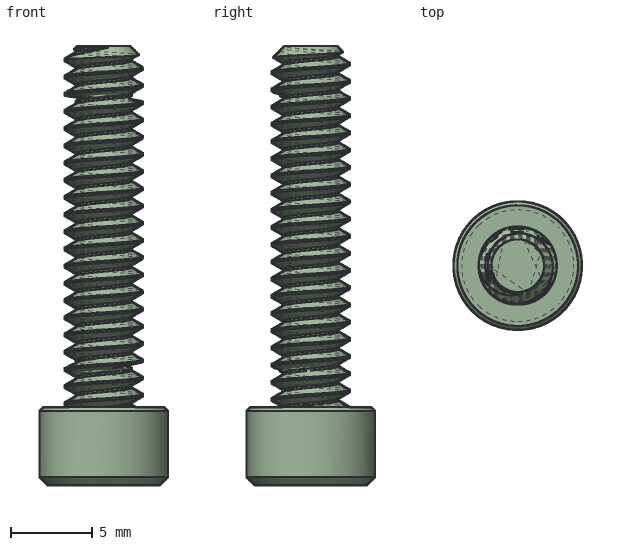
import cadquery as cq
import math

total_length = 27.05
head_diameter = 7.93
head_height = 4.81
head_base_chamfer = 0.51
head_shoulder_chamfer = 0.25

thread_diameter = 4.81
root_diameter = 3.45
shank_pitches = 21
thread_half_angle = math.radians(30)
crest_share = 1 / 8
crest_drop = 0.32
root_overlap = 0.05
extra_turns = 2

tip_diameter = 3.25

shank_length = total_length - head_height
pitch = shank_length / shank_pitches
thread_radius = thread_diameter / 2
root_radius = root_diameter / 2
tip_radius = tip_diameter / 2


def make_head():
    return (
        cq.Workplane("XY")
        .circle(head_diameter / 2)
        .extrude(head_height)
        .faces("<Z")
        .chamfer(head_base_chamfer)
        .faces(">Z")
        .chamfer(head_shoulder_chamfer)
    )


def make_core():
    core_start = head_height / 2
    return (
        cq.Workplane("XY", origin=(0, 0, core_start))
        .circle(root_radius)
        .extrude(total_length - core_start)
    )


def make_ridge():
    start_z = head_height - pitch - crest_drop
    turns = shank_pitches + extra_turns
    half_crest = pitch * crest_share / 2
    inner_radius = root_radius - root_overlap
    half_root = half_crest + (thread_radius - inner_radius) * math.tan(thread_half_angle)
    profile = [
        (inner_radius, start_z - half_root),
        (thread_radius, start_z - half_crest),
        (thread_radius, start_z + half_crest),
        (inner_radius, start_z + half_root),
    ]
    path = cq.Wire.makeHelix(pitch, turns * pitch, root_radius, center=cq.Vector(0, 0, start_z))
    return cq.Workplane("XZ").polyline(profile).close().sweep(cq.Workplane(path), isFrenet=True)


def make_tip_envelope():
    outer_radius = head_diameter
    outline = [
        (0, 0),
        (outer_radius, 0),
        (outer_radius, total_length - (outer_radius - tip_radius)),
        (tip_radius, total_length),
        (0, total_length),
    ]
    return cq.Workplane("XZ").polyline(outline).close().revolve(360, (0, 0, 0), (0, 1, 0))


shank = make_core().union(make_ridge()).intersect(make_tip_envelope())
result = make_head().union(shank)